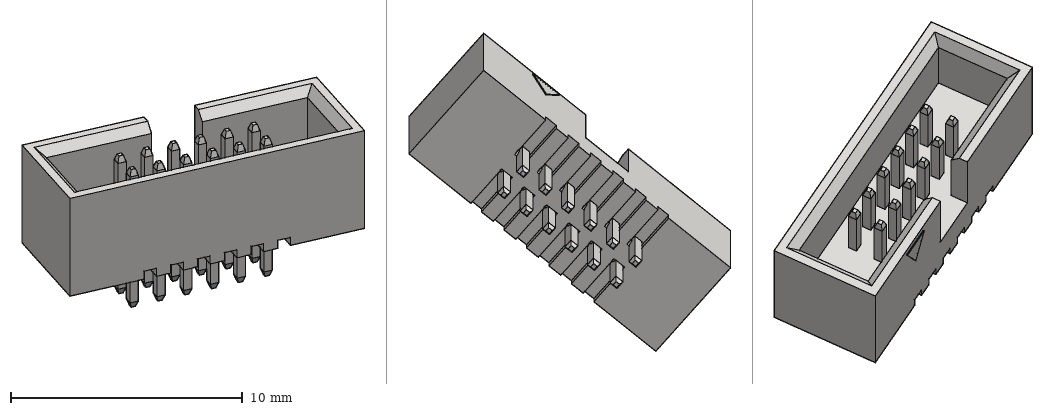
import cadquery as cq
import math


body_width = 5.0
body_length = 13.97
body_height = 4.9
rim_thickness = 0.4
lead_in = 0.4
wall_thickness = rim_thickness + lead_in
cavity_depth = 3.0
floor_z = body_height - cavity_depth

notch_length = 2.4

marker_side = 1.5
marker_height = marker_side * math.sqrt(3) / 2
marker_raise = 0.05
marker_center_y = 3.475
marker_top_gap = 0.3
marker_top_z = body_height - marker_top_gap

pitch = 1.27
pins_per_row = 6
pin_width = 0.4
pin_tip_width = 0.2
pin_tip_length = 0.3
pin_bottom_z = -2.4
pin_top_z = body_height - lead_in
row_positions = (-pitch / 2, pitch / 2)
pin_positions = [(i - (pins_per_row - 1) / 2) * pitch for i in range(pins_per_row)]

slot_width = 0.6
slot_height = 0.4
slot_bevel = 0.2
slot_end_x = pitch / 2


def make_housing():
    """Open-topped box with a bevelled rim and a notch in the -X wall."""
    body = cq.Workplane("XY").box(body_width, body_length, body_height, centered=(True, True, False))
    cavity_width = body_width - 2 * wall_thickness
    cavity_length = body_length - 2 * wall_thickness
    cavity = (
        cq.Workplane("XY")
        .workplane(offset=floor_z)
        .rect(cavity_width, cavity_length)
        .extrude(cavity_depth)
    )
    rim_bevel = (
        cq.Workplane("XY")
        .workplane(offset=body_height - lead_in)
        .rect(cavity_width, cavity_length)
        .workplane(offset=lead_in)
        .rect(cavity_width + 2 * lead_in, cavity_length + 2 * lead_in)
        .loft(ruled=True)
    )
    notch = (
        cq.Workplane("XY")
        .box(body_width / 2, notch_length, cavity_depth, centered=(False, True, False))
        .translate((-body_width / 2, 0, floor_z))
    )
    return body.cut(cavity).cut(rim_bevel).cut(notch)


def make_marker():
    """Equilateral triangle pointing down, standing proud of the -X wall."""
    return (
        cq.Workplane("YZ")
        .workplane(offset=-body_width / 2 - marker_raise)
        .moveTo(marker_center_y - marker_side / 2, marker_top_z)
        .lineTo(marker_center_y + marker_side / 2, marker_top_z)
        .lineTo(marker_center_y, marker_top_z - marker_height)
        .close()
        .extrude(marker_raise)
    )


def make_slot(y, side):
    """Slot from a long side (side = -1 or 1) to its pin row, with a bevelled inner end."""
    outline = [
        (side * body_width / 2, 0),
        (side * body_width / 2, slot_height),
        (side * slot_end_x, slot_height),
        (side * slot_end_x, slot_bevel),
        (side * (slot_end_x - slot_bevel), 0),
    ]
    return (
        cq.Workplane("XZ")
        .polyline(outline)
        .close()
        .extrude(slot_width / 2, both=True)
        .translate((0, y, 0))
    )


def make_pin(x, y):
    """Square pin tapered at both ends."""
    shank_bottom_z = pin_bottom_z + pin_tip_length
    shank_top_z = pin_top_z - pin_tip_length
    pin = (
        cq.Workplane("XY")
        .workplane(offset=shank_bottom_z)
        .rect(pin_width, pin_width)
        .extrude(shank_top_z - shank_bottom_z)
    )
    for shank_end_z, tip_offset in ((shank_bottom_z, -pin_tip_length), (shank_top_z, pin_tip_length)):
        tip = (
            cq.Workplane("XY")
            .workplane(offset=shank_end_z)
            .rect(pin_width, pin_width)
            .workplane(offset=tip_offset)
            .rect(pin_tip_width, pin_tip_width)
            .loft(ruled=True)
        )
        pin = pin.union(tip)
    return pin.translate((x, y, 0))


result = make_housing().union(make_marker())

for pin_y in pin_positions:
    for slot_side in (-1, 1):
        result = result.cut(make_slot(pin_y, slot_side))

for pin_y in pin_positions:
    for row_x in row_positions:
        result = result.union(make_pin(row_x, pin_y))